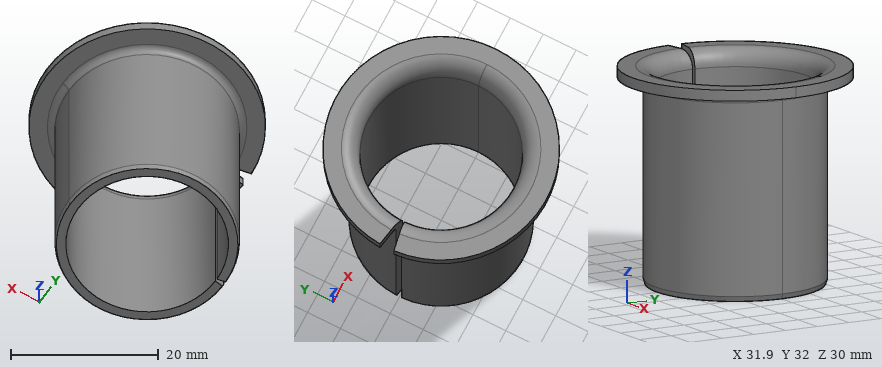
import cadquery as cq
import math

flange_diameter = 31.98
height = 30.0
body_diameter = 24.98
wall = 1.5
underside_bend_radius = 1.0
lead_in_height = 0.75
lead_in_width = 0.22
slit_half_angle = 10.0
slit_bore_width = 0.35

flange_radius = flange_diameter / 2
body_radius = body_diameter / 2
bore_radius = body_radius - wall
mouth_bend_radius = underside_bend_radius + wall
flange_underside = height - wall
bend_center_radius = body_radius + underside_bend_radius
bend_center_height = flange_underside - underside_bend_radius


def bend_point(radius):
    """Midpoint of a quarter-circle bend, as (distance from axis, height)."""
    offset = radius * math.sqrt(0.5)
    return bend_center_radius - offset, bend_center_height + offset


def flanged_bushing():
    """Revolve the constant-thickness wall that bends outward into the flange."""
    profile = (
        cq.Workplane("XZ")
        .moveTo(bore_radius, 0)
        .lineTo(body_radius - lead_in_width, 0)
        .lineTo(body_radius, lead_in_height)
        .lineTo(body_radius, bend_center_height)
        .threePointArc(bend_point(underside_bend_radius), (bend_center_radius, flange_underside))
        .lineTo(flange_radius, flange_underside)
        .lineTo(flange_radius, height)
        .lineTo(bend_center_radius, height)
        .threePointArc(bend_point(mouth_bend_radius), (bore_radius, bend_center_height))
        .close()
    )
    return profile.revolve(360, (0, 0, 0), (0, 1, 0))


def slit_cutter():
    """Full-height wedge on the -X side, widening outward from the bore."""
    slope = math.tan(math.radians(slit_half_angle))
    apex_x = -bore_radius + slit_bore_width / 2 / slope
    outer_x = -flange_diameter
    outer_half_width = (apex_x - outer_x) * slope
    outline = [(apex_x, 0), (outer_x, outer_half_width), (outer_x, -outer_half_width)]
    return cq.Workplane("XY").polyline(outline).close().extrude(height)


result = flanged_bushing().cut(slit_cutter())